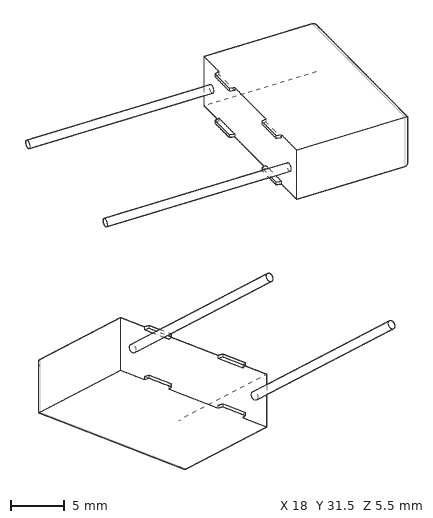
import cadquery as cq

HOUSING_WIDTH = 18.0
HOUSING_DEPTH = 12.0
HOUSING_HEIGHT = 5.5
BACK_EDGE_RADIUS = 0.5

TAB_PITCH = 9.07
TAB_BASE_WIDTH = 3.05
TAB_TIP_WIDTH = 2.77
TAB_LENGTH = 0.5
TAB_THICKNESS = 0.3

OVERALL_LENGTH = 31.5
LEAD_PITCH = 15.0
LEAD_DIAMETER = 0.85
LEAD_LENGTH = OVERALL_LENGTH - HOUSING_DEPTH



def make_tab(center_x, bottom_z):
    """One standoff tab, tapering in width from the lead face to its tip."""
    outline = [
        (center_x - TAB_BASE_WIDTH / 2, 0),
        (center_x - TAB_TIP_WIDTH / 2, -TAB_LENGTH),
        (center_x + TAB_TIP_WIDTH / 2, -TAB_LENGTH),
        (center_x + TAB_BASE_WIDTH / 2, 0),
    ]
    return cq.Workplane("XY").workplane(offset=bottom_z).polyline(outline).close().extrude(TAB_THICKNESS)


def make_housing():
    """Block with a rounded rim around its back face and four standoff tabs."""
    block = cq.Workplane("XY").box(
        HOUSING_WIDTH, HOUSING_DEPTH, HOUSING_HEIGHT, centered=(True, False, True)
    )
    block = block.faces(">Y").edges().fillet(BACK_EDGE_RADIUS)
    lower_z = -HOUSING_HEIGHT / 2
    upper_z = HOUSING_HEIGHT / 2 - TAB_THICKNESS
    for center_x in (-TAB_PITCH / 2, TAB_PITCH / 2):
        for bottom_z in (lower_z, upper_z):
            block = block.union(make_tab(center_x, bottom_z))
    return block


def make_lead(center_x):
    """Straight round wire that butts against the lead face."""
    return cq.Workplane("XZ").center(center_x, 0).circle(LEAD_DIAMETER / 2).extrude(LEAD_LENGTH)


housing = make_housing()
leads = [make_lead(center_x) for center_x in (-LEAD_PITCH / 2, LEAD_PITCH / 2)]

result = cq.Compound.makeCompound([housing.val(), *[lead.val() for lead in leads]])